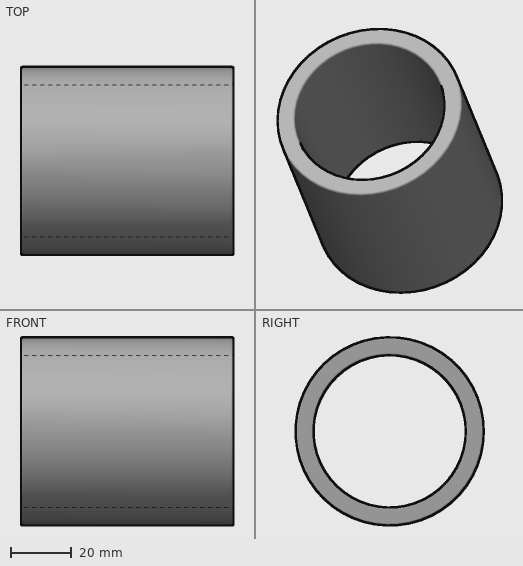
import cadquery as cq

length = 70.0
outer_diameter = 62.0
bore_diameter = 50.0
rim_radius = 0.75


def make_bushing():
    """Tube centred on the origin with its axis along X."""
    tube = (
        cq.Workplane("YZ", origin=(-length / 2, 0, 0))
        .circle(outer_diameter / 2)
        .circle(bore_diameter / 2)
        .extrude(length)
    )
    return tube.faces("<X or >X").edges().fillet(rim_radius)


result = make_bushing()